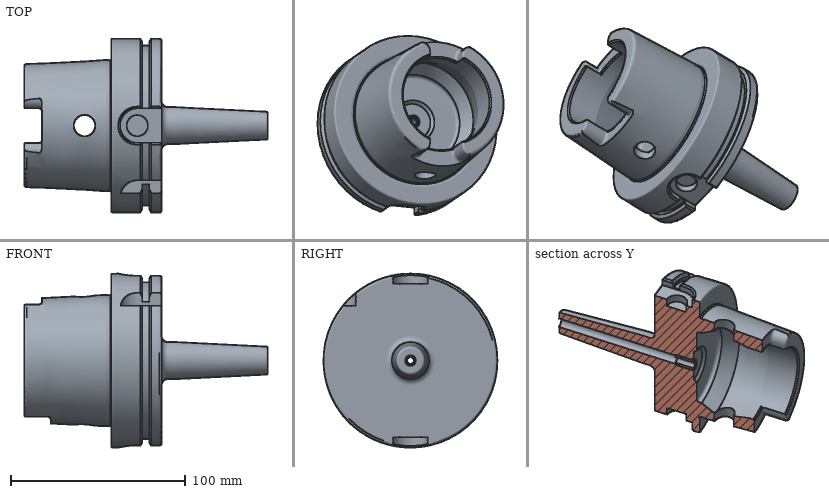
import cadquery as cq
import math


overrun = 1.0

shank_length = 50.0
taper_end_x = 47.1
taper_end_radius = 37.8
taper_slope = 1 / 20
shank_end_radius = taper_end_radius - taper_slope * taper_end_x
shank_end_rounding = 1.75
neck_start_x = 48.4
neck_end_x = 49.4
neck_radius = 37.65
face_relief_depth = 0.4
face_relief_inner_radius = 38.2
face_relief_outer_radius = 39.8

flange_radius = 50.0
flange_end_x = 79.0
flange_rounding = 1.0
flange_back_rounding = 1.5
groove_radius = 46.1
groove_start_x = 66.7
groove_end_x = 73.0
groove_flank_depth = 2.1
groove_flank_angle = 30
groove_flank_width = groove_flank_depth * math.tan(math.radians(groove_flank_angle))

overall_length = 140.0
nose_root_radius = 10.7
nose_fillet = 3.5
nose_cylinder_end_x = 87.2
nose_tip_radius = 8.05
nose_tip_rounding = 1.3

bore_radius = 26.5
bore_chamfer = 0.9
bore_depth = 52.0
bore_floor_fillet = 1.7
countersink_radius = 12.1
countersink_floor_radius = 10.35
countersink_depth = countersink_radius - countersink_floor_radius

clamp_groove_start_x = 19.4
clamp_groove_peak_x = 40.3
clamp_groove_end_x = 49.0
clamp_groove_radius = 31.5

slot_half_width = 9.9
slot_depths = {1: 10.2, -1: 15.2}
slot_straight_height = 27.3
slot_edge_radius = 5.0
slot_floor_fillet = 1.6
slot_rim_rounding = 1.2

cross_hole_x = 34.7
cross_hole_radius = 6.1

sides = (1, -1)
keyway_x = 65.0
keyway_half_width = 9.9
keyway_chamfer = 1.1
keyway_floor = 44.0
keyway_hole_radius = 6.1
keyway_hole_depth = 5.0
notch_floor = 31.4
notch_radius = 9.9

screw_start_x = bore_depth + countersink_depth
screw_radius = 3.65
screw_length = 12.0
screw_chamfer = 0.45
screw_hole_radius = 1.9
tool_bore_radius = 3.0


def revolved(profile):
    """Turn an XZ profile about the X axis."""
    return profile.close().revolve(360, (0, 0, 0), (1, 0, 0))


def shank_blank():
    profile = (
        cq.Workplane("XZ")
        .moveTo(0, 0)
        .lineTo(0, shank_end_radius)
        .lineTo(taper_end_x, taper_end_radius)
        .lineTo(neck_start_x, neck_radius)
        .lineTo(neck_end_x, neck_radius)
        .lineTo(shank_length + face_relief_depth, face_relief_inner_radius)
        .lineTo(shank_length + face_relief_depth, 0)
    )
    return revolved(profile).faces("<X").edges().fillet(shank_end_rounding)


def face_relief():
    """Shallow conical ring recess in the flange face around the neck."""
    profile = (
        cq.Workplane("XZ")
        .moveTo(shank_length, 0)
        .lineTo(shank_length, face_relief_outer_radius)
        .lineTo(shank_length + face_relief_depth, face_relief_inner_radius)
        .lineTo(shank_length + face_relief_depth, 0)
    )
    return revolved(profile)


def keyway(side):
    """U-shaped pocket, open to the nose end of the flange, on the +Z or -Z side."""
    height = flange_radius - keyway_floor + overrun
    length = flange_end_x + overrun - keyway_x
    plane = cq.Workplane("XY").workplane(offset=side * keyway_floor)
    return (
        plane.moveTo(keyway_x, keyway_half_width)
        .line(length, 0)
        .line(0, -2 * keyway_half_width)
        .line(-length, 0)
        .threePointArc((keyway_x - keyway_half_width, 0), (keyway_x, keyway_half_width))
        .close()
        .extrude(side * height)
    )


def keyway_rim(side):
    """Selector for the edges where a keyway meets the outside of the flange."""
    half_width = keyway_half_width + overrun
    rim_base = (keyway_floor + flange_radius) / 2
    return cq.selectors.BoxSelector(
        (keyway_x - half_width, -half_width, side * rim_base),
        (flange_end_x - overrun, half_width, side * (flange_radius + overrun)),
    )


def keyway_hole(side):
    plane = cq.Workplane("XY").workplane(offset=side * keyway_floor)
    return plane.center(keyway_x, 0).circle(keyway_hole_radius).extrude(-side * keyway_hole_depth)


def gripper_groove():
    flank_bottom = flange_radius - groove_flank_depth
    profile = (
        cq.Workplane("XZ")
        .moveTo(groove_start_x, flange_radius)
        .lineTo(groove_start_x + groove_flank_width, flank_bottom)
        .lineTo(groove_start_x + groove_flank_width, groove_radius)
        .lineTo(groove_end_x - groove_flank_width, groove_radius)
        .lineTo(groove_end_x - groove_flank_width, flank_bottom)
        .lineTo(groove_end_x, flange_radius)
        .lineTo(groove_end_x, flange_radius + overrun)
        .lineTo(groove_start_x, flange_radius + overrun)
    )
    return revolved(profile)


def corner_notch():
    """Notch between -Y and +Z with a flat floor, its wall running out in a round end."""
    wall_y = -notch_floor
    outer_y = wall_y - 2 * notch_radius
    return (
        cq.Workplane("XY")
        .workplane(offset=notch_floor)
        .moveTo(keyway_x, wall_y)
        .lineTo(flange_end_x + overrun, wall_y)
        .lineTo(flange_end_x + overrun, outer_y)
        .lineTo(keyway_x, outer_y)
        .threePointArc((keyway_x - notch_radius, wall_y - notch_radius), (keyway_x, wall_y))
        .close()
        .extrude(flange_radius - notch_floor)
    )


def flange():
    body = (
        cq.Workplane("YZ")
        .workplane(offset=shank_length)
        .circle(flange_radius)
        .extrude(flange_end_x - shank_length)
    )
    for side in sides:
        body = body.cut(keyway(side)).edges(keyway_rim(side)).chamfer(keyway_chamfer)
    outer_edges = cq.selectors.RadiusNthSelector(-1)
    body = body.faces("<X").edges(outer_edges).fillet(flange_rounding)
    body = body.faces(">X").edges(outer_edges).fillet(flange_back_rounding)
    for side in sides:
        body = body.cut(keyway_hole(side))
    return body.cut(gripper_groove()).cut(corner_notch()).cut(face_relief())


def nose():
    profile = (
        cq.Workplane("XZ")
        .moveTo(flange_end_x - overrun, 0)
        .lineTo(flange_end_x - overrun, nose_root_radius + nose_fillet)
        .lineTo(flange_end_x, nose_root_radius + nose_fillet)
        .radiusArc((flange_end_x + nose_fillet, nose_root_radius), -nose_fillet)
        .lineTo(nose_cylinder_end_x, nose_root_radius)
        .lineTo(overall_length, nose_tip_radius)
        .lineTo(overall_length, 0)
    )
    return revolved(profile).faces(">X").edges().fillet(nose_tip_rounding)


def shank_bore():
    bore = cq.Workplane("YZ").circle(bore_radius).extrude(bore_depth)
    bore = bore.faces(">X").edges().fillet(bore_floor_fillet)
    return bore.union(clamping_groove()).union(bore_entry(0))


def clamping_groove():
    profile = (
        cq.Workplane("XZ")
        .moveTo(clamp_groove_start_x, 0)
        .lineTo(clamp_groove_start_x, bore_radius)
        .lineTo(clamp_groove_peak_x, clamp_groove_radius)
        .lineTo(clamp_groove_end_x, bore_radius)
        .lineTo(clamp_groove_end_x, 0)
    )
    return revolved(profile)


def bore_entry(x):
    """Cone that breaks the edge of the bore at position x."""
    cone = cq.Solid.makeCone(
        bore_radius + bore_chamfer, bore_radius, bore_chamfer, cq.Vector(x, 0, 0), cq.Vector(1, 0, 0)
    )
    return cq.Workplane(cone)


def slot_edges(x, side):
    """Selector for the wall edges of a drive slot at position x."""
    margin = 0.1
    span = flange_radius - margin
    return cq.selectors.BoxSelector((x - margin, -span, side * margin), (x + margin, span, side * span))


def drive_slot(side):
    """Cutter for one slot in the open end, its walls rounding outwards into the taper.

    The block in front of the open end carries the flare that rounds the slot rim, and the
    cone at the slot floor breaks the edge of the bore there.
    """
    flat_height = slot_straight_height + slot_edge_radius
    flat_y = slot_half_width + slot_edge_radius
    arc_offset = slot_edge_radius * math.sqrt(0.5)
    arc_y = flat_y - arc_offset
    arc_height = slot_straight_height + arc_offset
    outer = flange_radius
    depth = slot_depths[side]
    cutter = (
        cq.Workplane("YZ")
        .moveTo(-slot_half_width, 0)
        .lineTo(-slot_half_width, side * slot_straight_height)
        .threePointArc((-arc_y, side * arc_height), (-flat_y, side * flat_height))
        .lineTo(-outer, side * flat_height)
        .lineTo(-outer, side * outer)
        .lineTo(outer, side * outer)
        .lineTo(outer, side * flat_height)
        .lineTo(flat_y, side * flat_height)
        .threePointArc((arc_y, side * arc_height), (slot_half_width, side * slot_straight_height))
        .lineTo(slot_half_width, 0)
        .close()
        .extrude(depth)
    )
    cutter = cutter.edges(slot_edges(depth, side)).fillet(slot_floor_fillet)
    front_block = cq.Workplane("XY").box(1, 2 * outer, outer).translate((-0.5, 0, side * outer / 2))
    cutter = cutter.union(front_block).edges(slot_edges(0, side)).fillet(slot_rim_rounding)
    gap = cq.Workplane("XY").box(outer, 2 * slot_half_width, outer).translate((depth, 0, side * outer / 2))
    return cutter.union(bore_entry(depth).intersect(gap))


def cross_hole():
    plane = cq.Workplane("XY").center(cross_hole_x, 0)
    return plane.circle(cross_hole_radius).extrude(flange_radius, both=True)


def passage():
    """Countersunk seat, screw hole and tool bore along the axis."""
    seat = cq.Solid.makeCone(
        countersink_radius,
        countersink_floor_radius,
        countersink_depth,
        cq.Vector(bore_depth, 0, 0),
        cq.Vector(1, 0, 0),
    )
    screw_hole = cq.Workplane("YZ").workplane(offset=screw_start_x).circle(screw_radius).extrude(screw_length)
    tool_bore = cq.Workplane("YZ").workplane(offset=screw_start_x).circle(tool_bore_radius)
    tool_bore = tool_bore.extrude(overall_length - screw_start_x)
    return screw_hole.union(tool_bore).union(cq.Workplane(seat))


def holder():
    body = shank_blank().union(flange()).union(nose())
    body = body.cut(shank_bore())
    for side in slot_depths:
        body = body.cut(drive_slot(side))
    return body.cut(cross_hole()).cut(passage())


def stop_screw():
    screw = (
        cq.Workplane("YZ")
        .workplane(offset=screw_start_x)
        .circle(screw_radius)
        .circle(screw_hole_radius)
        .extrude(screw_length)
    )
    return screw.faces("<X").edges().chamfer(screw_chamfer)


result = cq.Compound.makeCompound([holder().val(), stop_screw().val()])